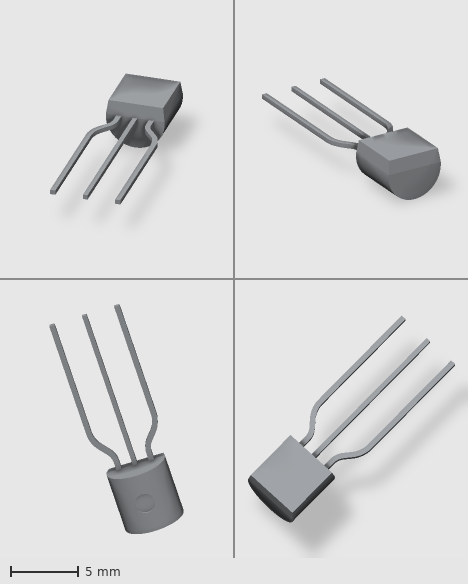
import cadquery as cq
import math


body_width = 4.57
body_length = 4.6
cap_height = 1.1
cap_inset = 0.15
round_radius = body_width / 2
straight_depth = 0.22
mark_radius = 0.75
mark_depth = 0.2

total_length = 17.1
lead_length = total_length - body_length
lead_thickness = 0.36
middle_lead_width = 0.36
outer_lead_width = 0.41
root_pitch = 1.27
tip_pitch = 2.53
root_straight = 0.72
splay_angle = math.radians(40)
root_bend_radius = 1.4
tip_bend_radius = 2.09


def make_body():
    """Tapered cap on a half-round base, with a round ejector mark underneath."""
    taper = math.degrees(math.atan2(cap_inset, cap_height))
    cap = (
        cq.Workplane("XY")
        .center(0, body_length / 2)
        .rect(body_width, body_length)
        .extrude(cap_height, taper=taper)
    )
    base = (
        cq.Workplane("XZ")
        .moveTo(-body_width / 2, 0)
        .lineTo(-body_width / 2, -straight_depth)
        .threePointArc((0, -straight_depth - round_radius), (body_width / 2, -straight_depth))
        .lineTo(body_width / 2, 0)
        .close()
        .extrude(-body_length)
    )
    mark = (
        cq.Workplane("XY", origin=(0, body_length / 2, -straight_depth - round_radius))
        .circle(mark_radius)
        .extrude(mark_depth)
    )
    return cap.union(base).cut(mark)


def make_middle_lead():
    """Straight lead running from the body face to the free end."""
    return cq.Workplane("XY").box(
        middle_lead_width, lead_length, lead_thickness, centered=(True, False, False)
    ).translate((0, -lead_length, -lead_thickness))


def make_outer_lead(side):
    """Lead splayed outward by two opposite bends; side is -1 (left) or 1 (right)."""
    def bend_point(start, radius, angle):
        """Point reached on a bend that starts along -Y and turns outward."""
        outward = radius * (1 - math.cos(angle))
        forward = radius * math.sin(angle)
        return start[0] + side * outward, start[1] - forward

    def return_point(end, radius, angle):
        """Point on a bend back to -Y, measured backwards from its end."""
        inward = radius * (1 - math.cos(angle))
        backward = radius * math.sin(angle)
        return end[0] - side * inward, end[1] + backward

    root_start = (side * root_pitch, -root_straight)
    root_middle = bend_point(root_start, root_bend_radius, splay_angle / 2)
    root_end = bend_point(root_start, root_bend_radius, splay_angle)

    bend_travel = (root_bend_radius + tip_bend_radius) * (1 - math.cos(splay_angle))
    slope_travel = tip_pitch - root_pitch - bend_travel
    slope_drop = slope_travel / math.tan(splay_angle)
    tip_bend_drop = tip_bend_radius * math.sin(splay_angle)

    tip_end = (side * tip_pitch, root_end[1] - slope_drop - tip_bend_drop)
    tip_start = return_point(tip_end, tip_bend_radius, splay_angle)
    tip_middle = return_point(tip_end, tip_bend_radius, splay_angle / 2)

    centreline = (
        cq.Workplane("XY", origin=(0, 0, -lead_thickness / 2))
        .moveTo(side * root_pitch, 0)
        .lineTo(*root_start)
        .threePointArc(root_middle, root_end)
        .lineTo(*tip_start)
        .threePointArc(tip_middle, tip_end)
        .lineTo(side * tip_pitch, -lead_length)
    )
    return (
        cq.Workplane("XZ", origin=(side * root_pitch, 0, -lead_thickness / 2))
        .rect(outer_lead_width, lead_thickness)
        .sweep(centreline)
    )


body = make_body()
middle_lead = make_middle_lead()
outer_leads = [make_outer_lead(side) for side in (-1, 1)]

result = cq.Compound.makeCompound(
    [body.val(), middle_lead.val(), *[lead.val() for lead in outer_leads]]
)